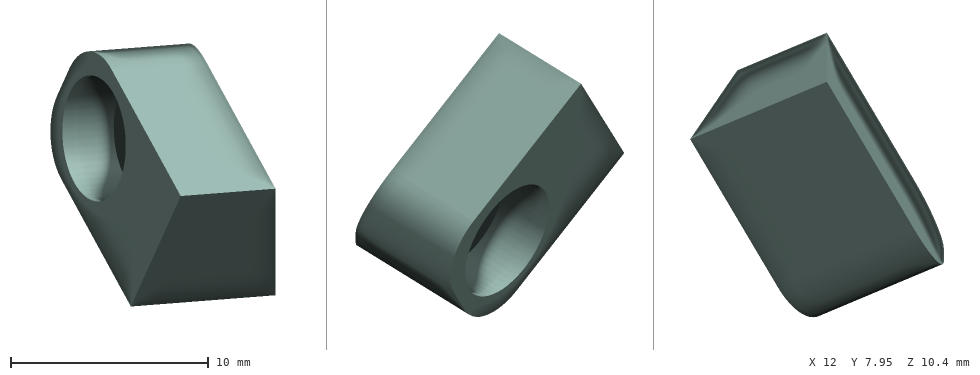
import cadquery as cq
import math

length = 12.0
face_height = 8.0
depth = 7.95
tilt = math.radians(20)
corner_radius = 3.0
pocket_diameter = 6.4
pocket_depth = 3.0
pocket_from_left = 4.0

front_plane = cq.Plane(
    origin=(0, -depth, depth * math.tan(tilt)),
    xDir=(1, 0, 0),
    normal=(0, -math.cos(tilt), math.sin(tilt)),
)
longest_side = depth / math.cos(tilt)


def make_body():
    """Bar square to the tilted face, rounded on the left and cut off by a vertical back face."""
    bar = (
        cq.Workplane(front_plane)
        .rect(length, face_height, centered=False)
        .extrude(-longest_side)
        .edges(cq.selectors.ParallelDirSelector(front_plane.zDir))
        .edges("<X")
        .fillet(corner_radius)
    )
    trim_size = 2 * (length + depth)
    behind_back = cq.Workplane("XY").box(
        trim_size, trim_size, trim_size, centered=(True, False, True)
    )
    return bar.cut(behind_back)


def make_pocket():
    """Blind round pocket, square to the tilted face and midway up it."""
    return (
        cq.Workplane(front_plane)
        .center(pocket_from_left, face_height / 2)
        .circle(pocket_diameter / 2)
        .extrude(-pocket_depth)
    )


result = make_body().cut(make_pocket())